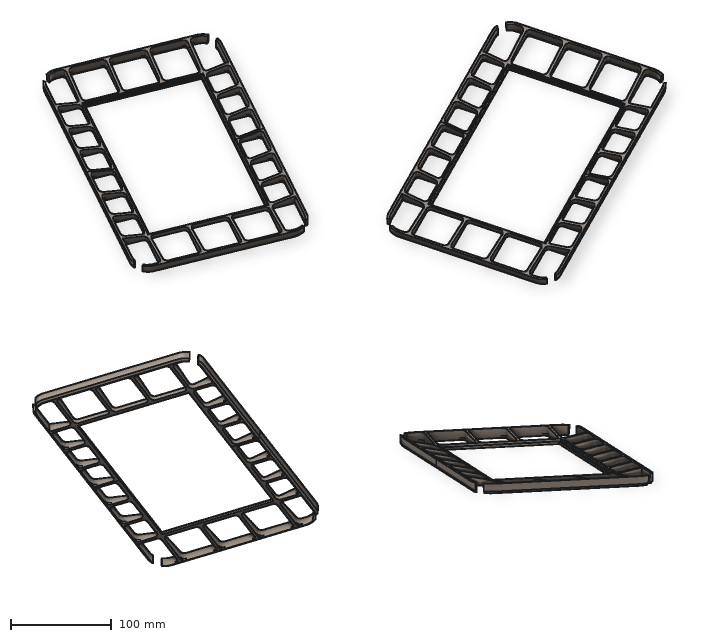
import cadquery as cq
import math

LENGTH = 294.3
WIDTH = 186.3
HEIGHT = 10.0
CORNER_RADIUS = 19.5

WALL_THICKNESS = 2.6
WALL_LEAN = 0.45
FOOT_HEIGHT = 2.5
FOOT_BEVEL = 1.8

FRAME_HALF_X = 100.5
FRAME_HALF_Y = 65.3
FRAME_HEIGHT = 5.0
RIM_THICKNESS = 2.0
LEDGE_WIDTH = 2.0
LEDGE_HEIGHT = 2.6

RIB_WIDTH = 3.2
LONG_SIDE_CELLS = 6
SHORT_SIDE_CELLS = 3
CELL_FILLET = 4.5

GAP_NEAR = 44.5
GAP_FAR = 58.3
GAP_END_OFFSET = 11.8

MARGIN = 3.0

FOOT_INSET = WALL_LEAN + WALL_THICKNESS


def layer(bottom_inset, top_inset, z_min, z_max):
    """Rounded rectangular solid whose sides slope from one inset to another."""
    slope = math.degrees(math.atan2(top_inset - bottom_inset, z_max - z_min))
    outline = (
        cq.Sketch()
        .rect(LENGTH - 2 * bottom_inset, WIDTH - 2 * bottom_inset)
        .vertices()
        .fillet(CORNER_RADIUS - bottom_inset)
    )
    return cq.Workplane("XY", origin=(0, 0, z_min)).placeSketch(outline).extrude(z_max - z_min, taper=slope)


def block(x_min, x_max, y_min, y_max, z_min, z_max):
    size = (x_max - x_min, y_max - y_min, z_max - z_min)
    return cq.Workplane("XY").box(*size, centered=False).translate((x_min, y_min, z_min))


def mirrored(shape):
    """The shape together with its mirror images across both centre planes."""
    pair = shape.union(shape.mirror("YZ"))
    return pair.union(pair.mirror("XZ"))


foot = layer(WALL_LEAN + FOOT_BEVEL, WALL_LEAN, 0, FOOT_HEIGHT)
envelope = foot.union(layer(WALL_LEAN, 0, FOOT_HEIGHT, HEIGHT))
cavity_layers = [
    layer(FOOT_INSET, FOOT_INSET, 0, FOOT_HEIGHT),
    layer(FOOT_INSET, WALL_THICKNESS, FOOT_HEIGHT, HEIGHT),
]


def roof_profile(plane, frame_half, outer_half):
    """Cross-section whose top falls from the outer wall to the inner frame."""
    wall_half = outer_half - WALL_THICKNESS
    return cq.Workplane(plane).polyline([
        (-outer_half, 0),
        (-outer_half, HEIGHT),
        (-wall_half, HEIGHT),
        (-frame_half, FRAME_HEIGHT),
        (frame_half, FRAME_HEIGHT),
        (wall_half, HEIGHT),
        (outer_half, HEIGHT),
        (outer_half, 0),
    ]).close()


roof = roof_profile("XZ", FRAME_HALF_X, LENGTH / 2).extrude(WIDTH / 2, both=True).union(
    roof_profile("YZ", FRAME_HALF_Y, WIDTH / 2).extrude(LENGTH / 2, both=True)
)


def cell(x_min, x_max, y_min, y_max, fillet_edges=None):
    """Opening with rounded upright edges, bounded by the outer wall where it reaches it."""
    opening = cq.Workplane("XY")
    for cavity in cavity_layers:
        part = cavity.intersect(block(x_min, x_max, y_min, y_max, 0, HEIGHT))
        upright = part.edges("not(#Z)")
        if fillet_edges:
            upright = upright.edges(fillet_edges)
        opening = opening.add(upright.fillet(CELL_FILLET))
    return opening.combine()


def cells():
    """Openings around the frame."""
    openings = cell(-LENGTH, -FRAME_HALF_X, FRAME_HALF_Y, WIDTH, "<Y")
    pitch_x = (2 * FRAME_HALF_X - RIB_WIDTH) / LONG_SIDE_CELLS
    for i in range(LONG_SIDE_CELLS // 2):
        start = i * pitch_x + RIB_WIDTH / 2
        openings = openings.union(cell(start, start + pitch_x - RIB_WIDTH, FRAME_HALF_Y, WIDTH))
    pitch_y = (2 * FRAME_HALF_Y - RIB_WIDTH) / SHORT_SIDE_CELLS
    for i in range(SHORT_SIDE_CELLS):
        start = -FRAME_HALF_Y + RIB_WIDTH + i * pitch_y
        openings = openings.union(cell(FRAME_HALF_X, LENGTH, start, start + pitch_y - RIB_WIDTH))
    return mirrored(openings)


def frame_window():
    """Central opening, wider above the ledge."""
    x = FRAME_HALF_X - RIM_THICKNESS
    y = FRAME_HALF_Y - RIM_THICKNESS
    recess = block(-x, x, -y, y, LEDGE_HEIGHT, HEIGHT)
    x -= LEDGE_WIDTH
    y -= LEDGE_WIDTH
    return recess.union(block(-x, x, -y, y, 0, HEIGHT))


def corner_gaps():
    """Diagonal slots that separate the long walls from the short ones."""
    reach_low = FRAME_HALF_Y + GAP_END_OFFSET
    reach_high = WIDTH / 2 + MARGIN
    slot = cq.Workplane("XY").polyline([
        (GAP_NEAR + reach_low, reach_low),
        (GAP_FAR + reach_low, reach_low),
        (GAP_FAR + reach_high, reach_high),
        (GAP_NEAR + reach_high, reach_high),
    ]).close().extrude(HEIGHT)
    return mirrored(slot)


tray = envelope.intersect(roof).cut(cells()).cut(frame_window()).cut(corner_gaps())

left_half = tray.intersect(block(-LENGTH, 0, -WIDTH, WIDTH, 0, HEIGHT))
right_half = tray.intersect(block(0, LENGTH, -WIDTH, WIDTH, 0, HEIGHT))
result = cq.Compound.makeCompound([*left_half.vals(), *right_half.vals()])